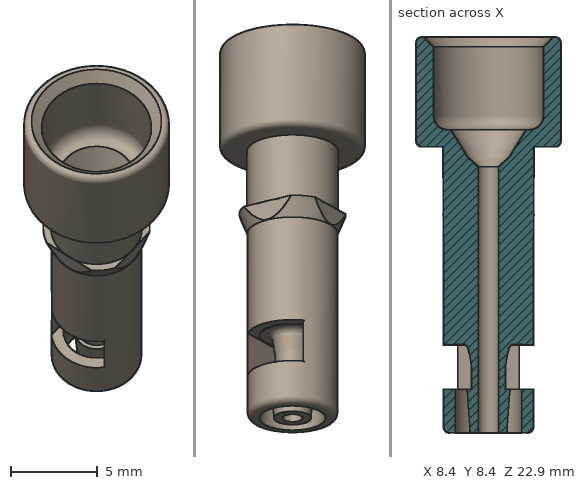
import cadquery as cq

height = 22.85
head_diameter = 8.4
head_bottom = 16.5
head_rounding = 0.37
mouth_diameter = 7.5
socket_diameter = 6.33
socket_rounding = 0.78
socket_floor = 17.5
mouth_depth = (mouth_diameter - socket_diameter) / 2

neck_diameter = 5.28
shaft_diameter = 5.21
tip_rounding = 0.37

flange_bottom = 11.43
flange_top = 12.6
flange_width = 5.23
flange_cone_diameter = 6.17

funnel_diameter = 4.37
throat_diameter = 2.42
passage_diameter = 1.17
funnel_depth = 1.58
throat_depth = 0.57

cavity_diameter = 3.82
cavity_top = 5.12
tube_diameter = 2.0
tube_root_diameter = 2.3
tube_root_rounding = 0.37
tube_cone_bottom = 3.82
collar_diameter = 2.51
collar_tip_diameter = 2.15

window_bottom = 2.54
window_top = 5.07


def cylinder(diameter, bottom, top):
    return cq.Workplane("XY").workplane(offset=bottom).circle(diameter / 2).extrude(top - bottom)


def cone(bottom_diameter, top_diameter, bottom, top):
    profile = [(0, bottom), (bottom_diameter / 2, bottom), (top_diameter / 2, top), (0, top)]
    return cq.Workplane("XZ").polyline(profile).close().revolve(360, (0, 0), (0, 1))


def make_body():
    head = cylinder(head_diameter, head_bottom, height).faces("<Z or >Z").edges().fillet(head_rounding)
    neck = cylinder(neck_diameter, flange_top, head_bottom)
    shaft = cylinder(shaft_diameter, 0, flange_top).faces("<Z").edges().fillet(tip_rounding)
    return head.union(neck).union(shaft)


def make_flange():
    block = cq.Workplane("XY").box(flange_width, flange_width, flange_top)
    block = block.translate((0, 0, flange_top / 2))
    return cone(shaft_diameter, flange_cone_diameter, flange_bottom, flange_top).intersect(block)


def make_socket():
    socket = cylinder(socket_diameter, socket_floor, height).faces("<Z").edges().fillet(socket_rounding)
    return socket.union(cone(socket_diameter, mouth_diameter, height - mouth_depth, height))


def make_passage():
    funnel_bottom = socket_floor - funnel_depth
    throat_bottom = funnel_bottom - throat_depth
    funnel = cone(throat_diameter, funnel_diameter, funnel_bottom, socket_floor)
    throat = cone(passage_diameter, throat_diameter, throat_bottom, funnel_bottom)
    return funnel.union(throat).union(cylinder(passage_diameter, 0, throat_bottom))


def make_outlet_tube():
    """Tapered collar, straight tube and cone, with a concave flare into the cavity ceiling."""
    root_radius = tube_root_diameter / 2
    flare_bottom = cavity_top - tube_root_rounding
    flare_center = root_radius + tube_root_rounding
    arc_offset = tube_root_rounding * 0.5 ** 0.5
    profile = (
        cq.Workplane("XZ")
        .lineTo(collar_tip_diameter / 2, 0)
        .lineTo(collar_diameter / 2, window_bottom)
        .lineTo(tube_diameter / 2, window_bottom)
        .lineTo(tube_diameter / 2, tube_cone_bottom)
        .lineTo(root_radius, flare_bottom)
        .threePointArc(
            (flare_center - arc_offset, flare_bottom + arc_offset),
            (flare_center, cavity_top),
        )
        .lineTo(0, cavity_top)
        .close()
    )
    return profile.revolve(360, (0, 0), (0, 1))


def make_window_slot():
    """Slot through the shaft along Y, as wide as the cavity, leaving a post on each X side."""
    slot = cq.Workplane("XY").box(cavity_diameter, shaft_diameter, window_top - window_bottom)
    return slot.translate((0, 0, (window_bottom + window_top) / 2))


def make_cavity():
    bore = cylinder(cavity_diameter, 0, cavity_top)
    return bore.union(make_window_slot()).cut(make_outlet_tube())


result = make_body().union(make_flange())
for cutter in (make_socket(), make_passage(), make_cavity()):
    result = result.cut(cutter)